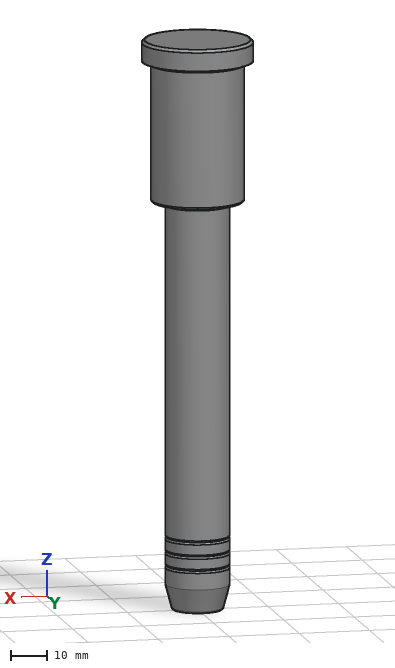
import cadquery as cq

total_length = 161.0
head_diameter = 31.0
head_height = 6.0
head_chamfer = 0.8

collar_diameter = 26.1
collar_bottom = 115.3
collar_chamfer = 0.6

shaft_diameter = 18.0
tip_diameter = 14.2
tip_length = 7.2
tip_fillet = 1.0

relief_width = 1.0
relief_depth = 0.5

ring_count = 3
ring_pitch = 4.0
ring_width = 1.1
ring_depth = 0.5
lowest_ring_center = 12.4


def cylinder(diameter, bottom, top):
    """Solid cylinder on the Z axis between two heights."""
    return cq.Workplane("XY").workplane(offset=bottom).circle(diameter / 2).extrude(top - bottom)


def groove(diameter, bottom, width, depth):
    """Ring-shaped cutter for a square groove in a cylinder."""
    return (
        cq.Workplane("XY")
        .workplane(offset=bottom)
        .circle(diameter / 2 + depth)
        .circle(diameter / 2 - depth)
        .extrude(width)
    )


def v_groove(diameter, center, width, depth):
    """Ring-shaped cutter for a V groove in a cylinder."""
    radius = diameter / 2
    return (
        cq.Workplane("XZ")
        .moveTo(radius, center - width / 2)
        .lineTo(radius - depth, center)
        .lineTo(radius, center + width / 2)
        .close()
        .revolve(360, (0, 0), (0, 1))
    )


head_bottom = total_length - head_height
head = cylinder(head_diameter, head_bottom, total_length).edges(">Z").chamfer(head_chamfer)
collar = cylinder(collar_diameter, collar_bottom, head_bottom).edges("<Z").chamfer(collar_chamfer)
head_relief_bottom = head_bottom - relief_width
collar = collar.cut(groove(collar_diameter, head_relief_bottom, relief_width, relief_depth))

shaft = cylinder(shaft_diameter, tip_length, collar_bottom)
tip = (
    cq.Workplane("XY")
    .circle(tip_diameter / 2)
    .workplane(offset=tip_length)
    .circle(shaft_diameter / 2)
    .loft(ruled=True)
    .edges("<Z")
    .fillet(tip_fillet)
)
shaft_relief_bottom = collar_bottom - relief_width
shaft = shaft.cut(groove(shaft_diameter, shaft_relief_bottom, relief_width, relief_depth))

for index in range(ring_count):
    ring_center = lowest_ring_center + index * ring_pitch
    shaft = shaft.cut(v_groove(shaft_diameter, ring_center, ring_width, ring_depth))

result = head.union(collar).union(shaft).union(tip)